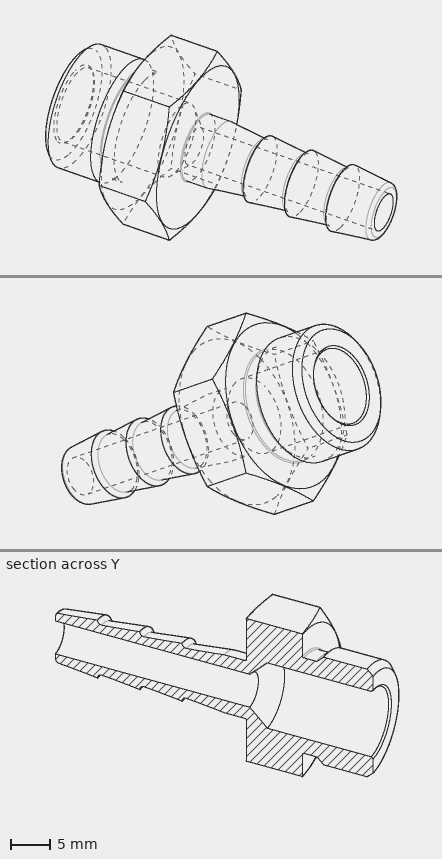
import cadquery as cq
import math

total_length = 45.0
hex_start = 10.0
hex_end = 18.0
barb_pitch = 6.0
barb_count = 4
first_taper_start = total_length - barb_count * barb_pitch

spigot_radius = 8.32
spigot_end_chamfer = 0.85
undercut_radius = 7.4
spigot_crest_end = 7.0
undercut_start = spigot_crest_end + spigot_radius - undercut_radius
undercut_fillet = 0.2

across_flats = 22.0
hex_face_radius = 10.95
hex_chamfer_angle = 20.0

barb_radius = 4.5
taper_angle = 6.5
barb_root_radius = barb_radius - barb_pitch * math.tan(math.radians(taper_angle))
barb_root_fillet = 0.55
tail_end_fillet = 0.55
tail_base_fillet = 0.15

inlet_radius = 5.0
inlet_depth = 15.0
inlet_chamfer = 0.25
passage_radius = inlet_radius / 2
bore_cone_angle = 90.0

EDGE_TOLERANCE = 0.005


def revolve_about_x(points):
    """Solid of revolution from an (x, radius) outline around the X axis."""
    return cq.Workplane("XY").polyline(points).close().revolve(360, (0, 0, 0), (1, 0, 0))


def fillet_ring(body, x, ring_radius, fillet_radius):
    """Round the circular edge of the given radius at position x."""

    def is_ring(edge):
        return (
            edge.geomType() == "CIRCLE"
            and abs(edge.Center().x - x) < EDGE_TOLERANCE
            and abs(edge.radius() - ring_radius) < EDGE_TOLERANCE
        )

    return body.edges().filter(is_ring).fillet(fillet_radius)


def make_hexagon():
    """Hexagonal flange with its corners turned down on both faces."""
    across_corners = across_flats / math.cos(math.pi / 6)
    prism = (
        cq.Workplane("YZ", origin=(hex_start, 0, 0))
        .polygon(6, across_corners)
        .extrude(hex_end - hex_start)
    )
    corner_radius = across_corners / 2
    chamfer_depth = (corner_radius - hex_face_radius) * math.tan(math.radians(hex_chamfer_angle))
    turned_envelope = revolve_about_x([
        (hex_start, 0),
        (hex_start, hex_face_radius),
        (hex_start + chamfer_depth, corner_radius),
        (hex_end - chamfer_depth, corner_radius),
        (hex_end, hex_face_radius),
        (hex_end, 0),
    ])
    return prism.intersect(turned_envelope)


def make_spigot():
    """Threaded spigot, chamfered at its end and relieved next to the hexagon."""
    return revolve_about_x([
        (0, 0),
        (0, spigot_radius - spigot_end_chamfer),
        (spigot_end_chamfer, spigot_radius),
        (spigot_crest_end, spigot_radius),
        (undercut_start, undercut_radius),
        (hex_start, undercut_radius),
        (hex_start, 0),
    ])


def make_hose_tail():
    """Plain neck followed by identical tapers that each step up to the next barb."""
    outline = [(hex_end, 0), (hex_end, barb_radius)]
    for index in range(barb_count):
        taper_start = first_taper_start + index * barb_pitch
        outline.append((taper_start, barb_radius))
        outline.append((taper_start + barb_pitch, barb_root_radius))
    outline.append((total_length, 0))
    tail = revolve_about_x(outline)
    for index in range(1, barb_count):
        barb_face = first_taper_start + index * barb_pitch
        tail = fillet_ring(tail, barb_face, barb_root_radius, barb_root_fillet)
    return fillet_ring(tail, total_length, barb_root_radius, tail_end_fillet)


def make_bore():
    """Wide inlet with a conical bottom leading into the narrow through passage."""
    half_cone_angle = math.radians(bore_cone_angle / 2)
    cone_length = (inlet_radius - passage_radius) / math.tan(half_cone_angle)
    return revolve_about_x([
        (0, 0),
        (0, inlet_radius + inlet_chamfer),
        (inlet_chamfer, inlet_radius),
        (inlet_depth, inlet_radius),
        (inlet_depth + cone_length, passage_radius),
        (total_length, passage_radius),
        (total_length, 0),
    ])


body = make_spigot().union(make_hexagon()).union(make_hose_tail())
body = fillet_ring(body, undercut_start, undercut_radius, undercut_fillet)
body = fillet_ring(body, hex_start, undercut_radius, undercut_fillet)
body = fillet_ring(body, hex_end, barb_radius, tail_base_fillet)

result = body.cut(make_bore())